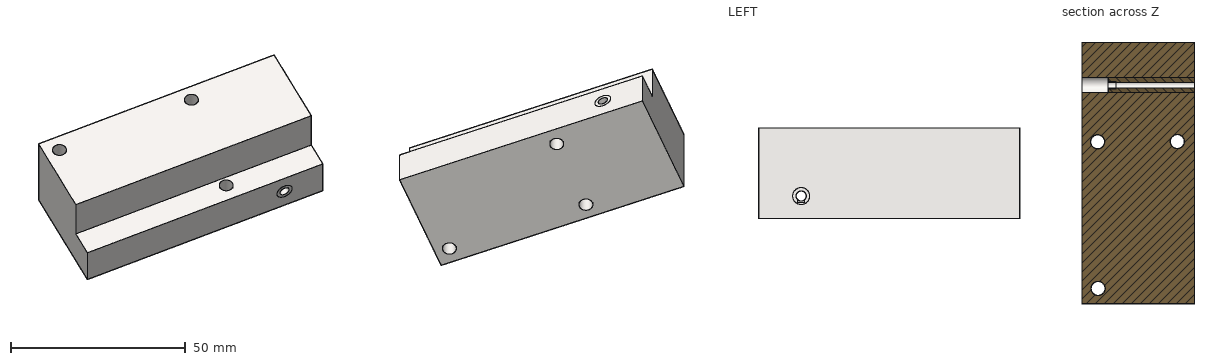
import cadquery as cq

width = 32.3
length = 74.9
height = 26.0
shoulder_width = 24.6
step_height = 12.4

screw_hole_diameter = 4.0
left_rear_hole = (4.5, length - 28.45)
left_front_hole = (4.65, 4.4)
ledge_hole = (width - 4.95, length - 28.4)

bore_diameter = 4.9
bore_y = length - 12.2
bore_z = 6.45
sleeve_inner_diameter = 2.85
sleeve_recess = 7.5
sleeve_length = width - sleeve_recess

key_width = 2.0
key_drop = 1.8
key_length = 2.25


def cylinder_along_x(diameter, start_x, cylinder_length):
    """Solid cylinder on the cross bore axis."""
    return (
        cq.Workplane("YZ", origin=(start_x, bore_y, bore_z))
        .circle(diameter / 2)
        .extrude(cylinder_length)
    )


def make_block():
    profile = [
        (0, 0),
        (width, 0),
        (width, step_height),
        (shoulder_width, step_height),
        (shoulder_width, height),
        (0, height),
    ]
    block = cq.Workplane("XZ").polyline(profile).close().extrude(-length)
    screw_holes = (
        cq.Workplane("XY")
        .pushPoints([left_rear_hole, left_front_hole, ledge_hole])
        .circle(screw_hole_diameter / 2)
        .extrude(height)
    )
    cross_bore = cylinder_along_x(bore_diameter, 0, width)
    return block.cut(screw_holes).cut(cross_bore)


def make_key():
    """Rectangular key whose top follows the round sleeve opening."""
    blank = cq.Workplane("XY", origin=(sleeve_recess, bore_y, bore_z - key_drop)).box(
        key_length, key_width, key_drop, centered=(False, True, False)
    )
    return blank.cut(cylinder_along_x(sleeve_inner_diameter, sleeve_recess, key_length))


def make_sleeve(seated_key):
    """Sleeve ending flush with the +X face, with a seat that matches the key."""
    tube = cylinder_along_x(bore_diameter, sleeve_recess, sleeve_length)
    opening = cylinder_along_x(sleeve_inner_diameter, sleeve_recess, sleeve_length)
    return tube.cut(opening).cut(seated_key)


block = make_block()
key = make_key()
sleeve = make_sleeve(key)

result = cq.Compound.makeCompound([block.val(), sleeve.val(), key.val()])